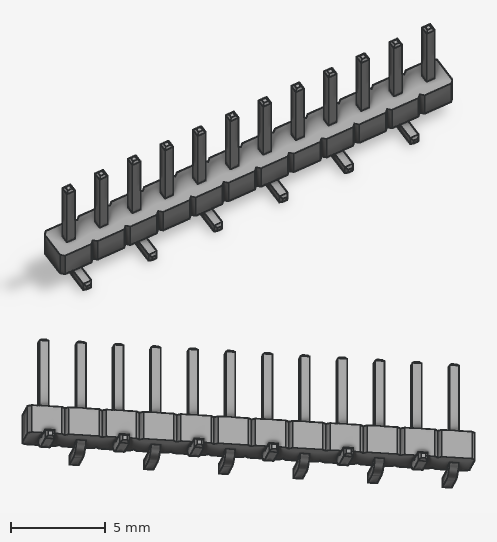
import cadquery as cq

pin_count = 12
row_length = 24.0
pitch = row_length / pin_count

body_width = pitch
body_height = 1.5
body_bottom = 0.65
corner_cut = 0.2

pin_size = 0.5
foot_span = 4.2
foot_reach = foot_span / 2
overall_height = 6.2
bend_inner_radius = 0.45
bend_outer_radius = bend_inner_radius + pin_size

tip_size = pin_size / 2
top_tip_length = 0.12
foot_tip_length = 0.15


def body_cell(y):
    """One pin's block of plastic; the cut corners of neighbours form the V notches."""
    block = cq.Workplane("XY").box(body_width, pitch, body_height, centered=(True, True, False))
    return block.edges("|Z").chamfer(corner_cut).translate((0, y, body_bottom))


def tapered_tip(plane, length):
    """Square frustum that narrows from the pin section to the tip section."""
    base = cq.Workplane(plane).rect(pin_size, pin_size)
    return base.workplane(offset=length).rect(tip_size, tip_size).loft(combine=True)


def bent_pin():
    """Pin at Y = 0 with its foot pointing to +X and resting on Z = 0."""
    half = pin_size / 2
    bend_x = bend_outer_radius - half
    bend_z = bend_outer_radius
    foot_end = foot_reach - foot_tip_length
    shaft_top = overall_height - top_tip_length
    shaft = (
        cq.Workplane("XZ")
        .moveTo(-half, shaft_top)
        .lineTo(-half, bend_z)
        .radiusArc((bend_x, 0), -bend_outer_radius)
        .lineTo(foot_end, 0)
        .lineTo(foot_end, pin_size)
        .lineTo(bend_x, pin_size)
        .radiusArc((half, bend_z), bend_inner_radius)
        .lineTo(half, shaft_top)
        .close()
        .extrude(half, both=True)
    )
    top_tip = tapered_tip("XY", top_tip_length).translate((0, 0, shaft_top))
    foot_tip = tapered_tip("YZ", foot_tip_length).translate((foot_end, 0, half))
    return shaft.union(top_tip).union(foot_tip)


pin_right = bent_pin()
pin_left = pin_right.mirror("YZ")

body = cq.Workplane("XY")
pins = cq.Workplane("XY")
for index in range(pin_count):
    y = (index - (pin_count - 1) / 2) * pitch
    pin = pin_right if index % 2 == 0 else pin_left
    body = body.union(body_cell(y))
    pins = pins.union(pin.translate((0, y, 0)))

result = body.union(pins)